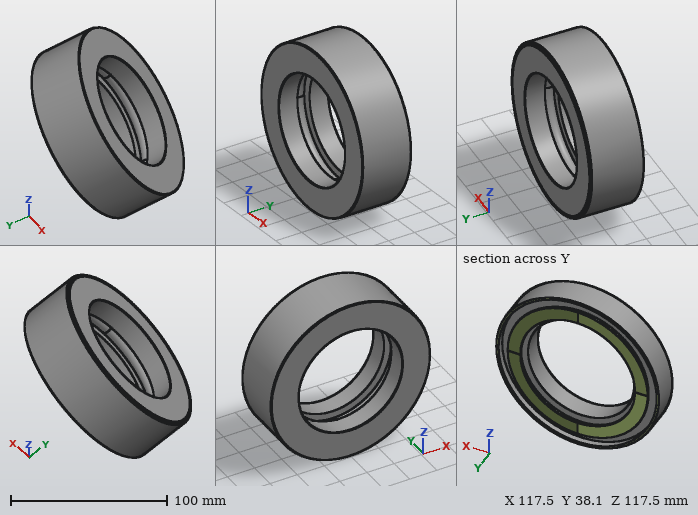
import cadquery as cq

OUTER_DIAMETER = 117.5
WIDTH = 38.1
BORE_DIAMETER = 76.2
FRONT_Y = -WIDTH / 2
REAR_Y = WIDTH / 2

SHEATH_BORE_DIAMETER = 113.4
FRONT_FACE_DIAMETER = 116.4
SHEATH_END_DIAMETER = 116.1
SHEATH_SETBACK = 0.4
BORE_CHAMFER = 0.4

GAP = 9.4
RING_CENTRE_RADIUS = 45.8
SEGMENT_COUNT = 4

OUTER_RADIUS = OUTER_DIAMETER / 2
BORE_RADIUS = BORE_DIAMETER / 2
SHEATH_BORE_RADIUS = SHEATH_BORE_DIAMETER / 2
HALF_GAP = GAP / 2
SEGMENT_ANGLE = 360 / SEGMENT_COUNT


def revolve_about_axis(profile, angle=360):
    """Revolve a closed radius-versus-Y profile about the bearing axis."""
    return profile.revolve(angle, (0, 0, 0), (0, 1, 0))


def make_housing():
    front_chamfer = (OUTER_DIAMETER - FRONT_FACE_DIAMETER) / 2
    rear_chamfer = (OUTER_DIAMETER - SHEATH_END_DIAMETER) / 2
    sheath_end_y = REAR_Y - SHEATH_SETBACK
    profile = (
        cq.Workplane("XY")
        .moveTo(BORE_RADIUS + BORE_CHAMFER, FRONT_Y)
        .lineTo(FRONT_FACE_DIAMETER / 2, FRONT_Y)
        .lineTo(OUTER_RADIUS, FRONT_Y + front_chamfer)
        .lineTo(OUTER_RADIUS, sheath_end_y - rear_chamfer)
        .lineTo(SHEATH_END_DIAMETER / 2, sheath_end_y)
        .lineTo(SHEATH_BORE_RADIUS, sheath_end_y)
        .lineTo(SHEATH_BORE_RADIUS, -HALF_GAP)
        .lineTo(BORE_RADIUS, -HALF_GAP)
        .lineTo(BORE_RADIUS, FRONT_Y + BORE_CHAMFER)
        .close()
    )
    return revolve_about_axis(profile)


def make_washer():
    """Rear plate that fits inside the sheath and stands slightly proud of it."""
    profile = (
        cq.Workplane("XY")
        .moveTo(BORE_RADIUS, HALF_GAP)
        .lineTo(SHEATH_BORE_RADIUS, HALF_GAP)
        .lineTo(SHEATH_BORE_RADIUS, REAR_Y)
        .lineTo(BORE_RADIUS + BORE_CHAMFER, REAR_Y)
        .lineTo(BORE_RADIUS, REAR_Y - BORE_CHAMFER)
        .close()
    )
    return revolve_about_axis(profile)


def make_ring_segment(index):
    """One arc of the ring; its section touches both plates."""
    section = cq.Workplane("XY").moveTo(RING_CENTRE_RADIUS, 0).circle(HALF_GAP)
    segment = revolve_about_axis(section, SEGMENT_ANGLE)
    return segment.rotate((0, 0, 0), (0, 1, 0), index * SEGMENT_ANGLE)


housing = make_housing()
washer = make_washer()
ring_segments = [make_ring_segment(index) for index in range(SEGMENT_COUNT)]

result = cq.Compound.makeCompound(
    [housing.val(), washer.val(), *[segment.val() for segment in ring_segments]]
)